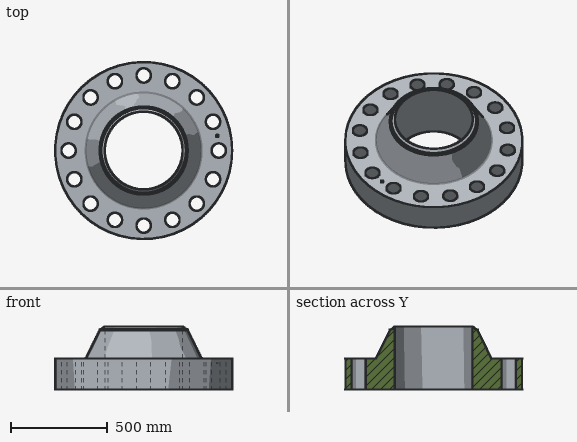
import cadquery as cq
import math

INCH = 25.4

overall_height = 327.15

flange_diameter = 36 * INCH
flange_thickness = 162.0

bolt_count = 16
bolt_circle_diameter = 30.5 * INCH
bolt_hole_diameter = 2.875 * INCH

pilot_mouth_diameter = 0.5 * INCH
pilot_hole_diameter = 8.0
pilot_hole_depth = 1.0 * INCH
pilot_hole_angle = 360 / bolt_count / 2

bore_radius = 200.0
hub_base_radius = 299.0
hub_root_fillet = 5.0
neck_radius = 228.0
neck_land_height = 6.0

bevel_height = 13.5
bevel_width = 16.5
ledge_drop = 2.0
rim_width = 1.6
rim_radius = bore_radius + rim_width
bevel_base_radius = rim_radius + bevel_width


def make_body():
    """Revolve the half section of the disc, hub and weld end about Z, then fillet the hub root."""
    flange_radius = flange_diameter / 2
    ledge_inner_z = overall_height - bevel_height
    ledge_outer_z = ledge_inner_z - ledge_drop
    section = [
        (bore_radius, 0),
        (flange_radius, 0),
        (flange_radius, flange_thickness),
        (hub_base_radius, flange_thickness),
        (neck_radius, ledge_outer_z - neck_land_height),
        (neck_radius, ledge_outer_z),
        (bevel_base_radius, ledge_inner_z),
        (rim_radius, overall_height),
        (bore_radius, overall_height),
    ]
    body = cq.Workplane("XZ").polyline(section).close().revolve(360, (0, 0), (0, 1))
    hub_root = cq.selectors.RadiusNthSelector(-2)
    return body.edges("%CIRCLE").edges(hub_root).fillet(hub_root_fillet)


def drill_bolt_holes(body):
    """Cut the evenly spaced through holes for the bolts."""
    cutters = (
        cq.Workplane("XY")
        .polarArray(bolt_circle_diameter / 2, 0, 360, bolt_count)
        .circle(bolt_hole_diameter / 2)
        .extrude(flange_thickness)
    )
    return body.cut(cutters)


def drill_pilot_hole(body):
    """Cut the small countersunk blind hole down from the hub side of the disc."""
    angle = math.radians(pilot_hole_angle)
    x = bolt_circle_diameter / 2 * math.cos(angle)
    y = bolt_circle_diameter / 2 * math.sin(angle)
    mouth = cq.Workplane("XY", origin=(x, y, flange_thickness))
    hole = mouth.circle(pilot_hole_diameter / 2).extrude(-pilot_hole_depth)
    countersink_depth = (pilot_mouth_diameter - pilot_hole_diameter) / 2
    countersink = mouth.circle(pilot_mouth_diameter / 2).extrude(-countersink_depth, taper=45)
    return body.cut(hole).cut(countersink)


body = make_body()
body = drill_bolt_holes(body)
result = drill_pilot_hole(body)